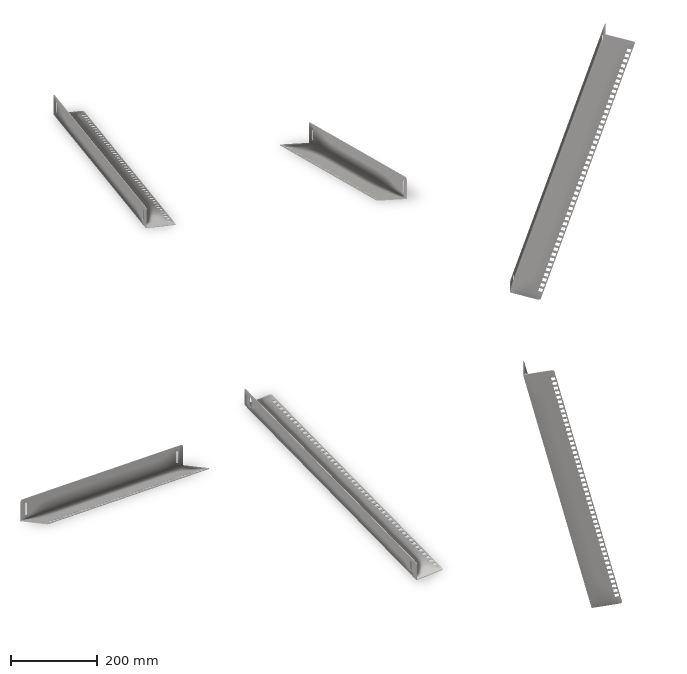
import cadquery as cq

LENGTH = 750.0
DEPTH = 73.0
HEIGHT = 50.0
THICKNESS = 1.5

CORNER_RADIUS = 5.0

WINDOW_COUNT = 48
WINDOW_ROW_SPAN = 696.0
WINDOW_PITCH = WINDOW_ROW_SPAN / (WINDOW_COUNT - 1)
WINDOW_WIDTH = 9.0
WINDOW_LENGTH = 10.0
EDGE_STRIP = 2.5

SLOT_WIDTH = 8.0
SLOT_LENGTH = 29.0
SLOT_END_DISTANCE = 25.5
SLOT_COUNT = 2
SLOT_ANGLE = 90
SLOT_CENTER_HEIGHT = HEIGHT / 2


def make_horizontal_leg():
    """Flat leg on the XY plane, rounded at its two free corners."""
    leg = cq.Workplane("XY").box(LENGTH, DEPTH, THICKNESS, centered=(True, False, False))
    return leg.edges("|Z and >Y").fillet(CORNER_RADIUS)


def make_vertical_leg():
    """Upright leg with its outer face on Y = 0, rounded at its two top corners."""
    leg = cq.Workplane("XY").box(LENGTH, THICKNESS, HEIGHT, centered=(True, False, False))
    return leg.edges("|Y and >Z").fillet(CORNER_RADIUS)


def make_windows():
    """Cutter for the evenly spaced rectangular windows, leaving a thin edge strip."""
    center_y = DEPTH - EDGE_STRIP - WINDOW_LENGTH / 2
    return (
        cq.Workplane("XY")
        .center(0, center_y)
        .rarray(WINDOW_PITCH, 7.5, WINDOW_COUNT, 1)
        .rect(WINDOW_WIDTH, WINDOW_LENGTH)
        .extrude(THICKNESS)
    )


def make_slots():
    """Cutter for the two upright slots through the vertical leg."""
    slot_spacing = LENGTH - 2 * SLOT_END_DISTANCE
    return (
        cq.Workplane("XZ")
        .center(0, SLOT_CENTER_HEIGHT)
        .rarray(slot_spacing, 7.5, SLOT_COUNT, 1)
        .slot2D(SLOT_LENGTH, SLOT_WIDTH, SLOT_ANGLE)
        .extrude(-THICKNESS)
    )


angle = make_horizontal_leg().union(make_vertical_leg())
result = angle.cut(make_windows()).cut(make_slots())